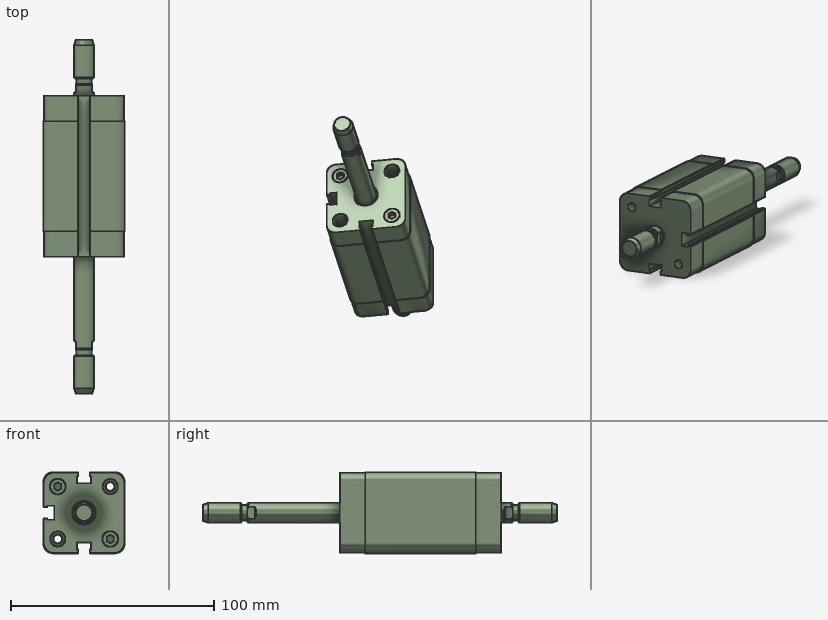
import cadquery as cq
import math

total_length = 174.5
front_tip_y = -total_length / 2
back_tip_y = total_length / 2

barrel_size = 40.1
barrel_corner_radius = 5.0
cover_inset = 0.3
cover_length = 12.5
housing_length = 79.4
back_rod_length = 27.5
housing_back_y = back_tip_y - back_rod_length
housing_front_y = housing_back_y - housing_length

slot_floor_radius = 14.7
slot_lip_radius = 18.0
slot_width = 6.8
slot_opening = 5.5
slot_edge_chamfer = 0.3

corner_offset = 13.0
through_hole_diameter = 4.2
counterbore_diameter = 7.5
counterbore_depth = 10.0
screw_pocket_diameter = 7.9
screw_head_diameter = 7.5
screw_gap_depth = 1.0
screw_socket_corners = 4.2
screw_socket_depth = 2.6

rod_diameter = 10.0
rod_seat_diameter = 11.7
rod_seat_depth = 1.0
tip_diameter = 8.0
tip_taper_length = 2.8
thread_length = 19.2
neck_diameter = 7.9
neck_end = 21.8
shoulder_chamfer = 0.7
flats_width = 8.0
flats_end = 25.5


def housing_section(size, corner_radius, start_y, length):
    """Rounded square bar running toward +Y from start_y, slotted on three sides."""
    bar = (
        cq.Workplane("XZ", origin=(0, start_y, 0))
        .rect(size, size)
        .extrude(-length)
        .edges("|Y")
        .fillet(corner_radius)
    )
    slot = make_slot(size / 2, start_y, length)
    for angle in (0, 180, -90):
        bar = bar.cut(slot.rotate((0, 0, 0), (0, 1, 0), angle))
    return bar


def make_slot(outer, start_y, length):
    """T-slot cutter for the +Z side, with chamfered edges at the outer face."""
    right_side = [
        (slot_width / 2, slot_floor_radius),
        (slot_width / 2, slot_lip_radius),
        (slot_opening / 2, slot_lip_radius),
        (slot_opening / 2, outer - slot_edge_chamfer),
        (slot_opening / 2 + slot_edge_chamfer, outer),
    ]
    left_side = [(-x, z) for x, z in reversed(right_side)]
    return (
        cq.Workplane("XZ", origin=(0, start_y, 0))
        .polyline(right_side + left_side)
        .close()
        .extrude(-length)
    )


def make_housing():
    """Front cover, barrel and back cover joined end to end."""
    cover_size = barrel_size - 2 * cover_inset
    cover_corner_radius = barrel_corner_radius - cover_inset
    barrel_start_y = housing_front_y + cover_length
    barrel_length = housing_length - 2 * cover_length
    barrel_end_y = barrel_start_y + barrel_length
    front_cover = housing_section(cover_size, cover_corner_radius, housing_front_y, cover_length)
    barrel = housing_section(barrel_size, barrel_corner_radius, barrel_start_y, barrel_length)
    back_cover = housing_section(cover_size, cover_corner_radius, barrel_end_y, cover_length)
    return front_cover.union(barrel).union(back_cover)


def front_face_cutter(points, diameter, depth):
    """Round holes bored from the front cover face toward +Y."""
    return (
        cq.Workplane("XZ", origin=(0, housing_front_y, 0))
        .pushPoints(points)
        .circle(diameter / 2)
        .extrude(-depth)
    )


def make_screw_sockets(points):
    """Hexagon sockets with two corners pointing along Z."""
    angles = [math.radians(30 + 60 * i) for i in range(6)]
    radius = screw_socket_corners / 2
    hexagon = [(radius * math.cos(a), radius * math.sin(a)) for a in angles]
    sockets = cq.Workplane("XZ")
    for x, z in points:
        socket = (
            cq.Workplane("XZ", origin=(x, housing_front_y, z))
            .polyline(hexagon)
            .close()
            .extrude(-screw_socket_depth)
        )
        sockets = sockets.add(socket)
    return sockets.combine()


def rod_end_profile():
    """(radius, distance from the tip) points from the tip to the full rod."""
    rod_radius = rod_diameter / 2
    neck_radius = neck_diameter / 2
    return [
        (0, 0),
        (tip_diameter / 2, 0),
        (rod_radius, tip_taper_length),
        (rod_radius, thread_length - shoulder_chamfer),
        (rod_radius - shoulder_chamfer, thread_length),
        (neck_radius, thread_length),
        (neck_radius, neck_end),
        (rod_radius - shoulder_chamfer, neck_end),
        (rod_radius, neck_end + shoulder_chamfer),
    ]


def make_flat_cutter():
    """Wrench flat on the +X side of the front rod end, ramping out at its inner end."""
    flat_x = flats_width / 2
    ramp = (rod_diameter - flats_width) / 2
    flat_start_y = front_tip_y + neck_end
    flat_end_y = front_tip_y + flats_end
    return (
        cq.Workplane("XY")
        .moveTo(flat_x, flat_start_y)
        .lineTo(flat_x, flat_end_y)
        .lineTo(flat_x + ramp, flat_end_y + ramp)
        .lineTo(flat_x + ramp, flat_start_y)
        .close()
        .extrude(rod_diameter / 2, both=True)
    )


def make_rod():
    """Turned rod through the housing with a pair of wrench flats near each end."""
    end_profile = rod_end_profile()
    front_end = [(r, front_tip_y + d) for r, d in end_profile]
    back_end = [(r, back_tip_y - d) for r, d in reversed(end_profile)]
    rod = (
        cq.Workplane("XY")
        .polyline(front_end + back_end)
        .close()
        .revolve(360, (0, 0, 0), (0, 1, 0))
    )
    front_flat = make_flat_cutter()
    for flat in (front_flat, front_flat.mirror("XZ")):
        rod = rod.cut(flat).cut(flat.mirror("YZ"))
    return rod


housing = make_housing()

bolt_points = [(corner_offset, corner_offset), (-corner_offset, -corner_offset)]
housing = housing.cut(front_face_cutter(bolt_points, through_hole_diameter, housing_length))
housing = housing.cut(front_face_cutter(bolt_points, counterbore_diameter, counterbore_depth))

screw_points = [(-corner_offset, corner_offset), (corner_offset, -corner_offset)]
screw_heads = front_face_cutter(screw_points, screw_head_diameter, screw_gap_depth)
screw_pockets = front_face_cutter(screw_points, screw_pocket_diameter, screw_gap_depth)
housing = housing.cut(screw_pockets.cut(screw_heads))
housing = housing.cut(make_screw_sockets(screw_points))

housing = housing.cut(front_face_cutter([(0, 0)], rod_seat_diameter, rod_seat_depth))

result = housing.union(make_rod())